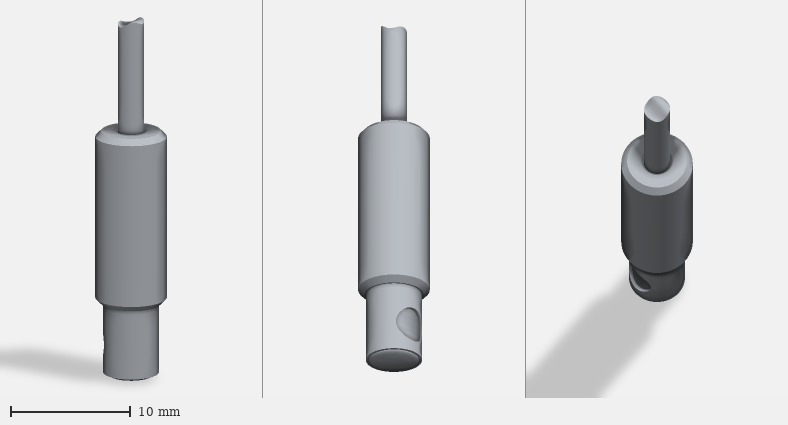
import cadquery as cq
import math

total_height = 31.17
dome_height = 0.5
neck_height = 6.0
body_height = 15.0

body_radius = 6.0 / 2
neck_radius = 4.7 / 2
pin_radius = 2.2 / 2
dome_radius = 4.2 / 2

body_chamfer = 0.5
pin_recess_width = 0.22

wave_height = 0.5
wave_half_length = 1.11

pocket_radius = 3.0 / 2
pocket_center_z = 3.0
pocket_wall_depth = 0.3
pocket_core_overlap = 0.3

neck_bottom = dome_height
body_bottom = neck_bottom + neck_height
body_top = body_bottom + body_height


def make_turned_body():
    """Elliptical domed foot, neck and chamfered body, turned about Z."""
    return (
        cq.Workplane("XZ")
        .moveTo(0, 0)
        .ellipseArc(dome_radius, dome_height, 270, 360)
        .lineTo(neck_radius, neck_bottom)
        .lineTo(neck_radius, body_bottom)
        .lineTo(body_radius - body_chamfer, body_bottom)
        .lineTo(body_radius, body_bottom + body_chamfer)
        .lineTo(body_radius, body_top - body_chamfer)
        .lineTo(body_radius - body_chamfer, body_top)
        .lineTo(0, body_top)
        .close()
        .revolve(360, (0, 0), (0, 1))
    )


def make_pin_recess():
    """Conical countersink in the top of the body, narrowing to the pin."""
    return (
        cq.Workplane("XZ")
        .moveTo(0, body_top - pin_recess_width)
        .lineTo(pin_radius, body_top - pin_recess_width)
        .lineTo(pin_radius + pin_recess_width, body_top)
        .lineTo(0, body_top)
        .close()
        .revolve(360, (0, 0), (0, 1))
    )


def make_pin():
    """Round pin whose tip follows an S-shaped wave across X."""
    pin_bottom = body_top - 2 * pin_recess_width
    wave_middle = total_height - wave_height / 2
    round_pin = (
        cq.Workplane("XY")
        .workplane(offset=pin_bottom)
        .circle(pin_radius)
        .extrude(total_height + wave_height - pin_bottom)
    )
    wave_points = [
        (-wave_half_length / 2, wave_middle - wave_height / 2),
        (0, wave_middle),
        (wave_half_length / 2, wave_middle + wave_height / 2),
        (wave_half_length, wave_middle),
    ]
    level = (1, 0)
    wave_tangents = [None, level, None, level, None]
    wave = (
        cq.Workplane("XZ", origin=(0, wave_half_length, 0))
        .moveTo(-wave_half_length, pin_bottom)
        .lineTo(-wave_half_length, wave_middle)
        .spline(wave_points, tangents=wave_tangents, includeCurrent=True)
        .lineTo(wave_half_length, pin_bottom)
        .close()
        .extrude(2 * wave_half_length)
    )
    return round_pin.intersect(wave)


def make_pocket():
    """Round pocket along X; its saddle floor lies at an even depth below its rim."""
    rim_fall = neck_radius - math.sqrt(neck_radius**2 - pocket_radius**2)
    saddle_radius = pocket_radius**2 / rim_fall
    floor_middle_x = -neck_radius + pocket_wall_depth + rim_fall / 2
    drill = (
        cq.Workplane("YZ")
        .center(0, pocket_center_z)
        .circle(pocket_radius)
        .extrude(-body_radius)
    )
    half_height = pocket_radius + pocket_core_overlap
    end_radius = 2 * saddle_radius - math.sqrt(saddle_radius**2 - half_height**2)
    core = (
        cq.Workplane("XZ")
        .moveTo(0, -half_height)
        .lineTo(-end_radius, -half_height)
        .threePointArc((-saddle_radius, 0), (-end_radius, half_height))
        .lineTo(0, half_height)
        .close()
        .revolve(360, (0, 0), (0, 1))
        .translate((floor_middle_x + saddle_radius, 0, pocket_center_z))
    )
    return drill.cut(core)


result = make_turned_body().cut(make_pin_recess()).union(make_pin()).cut(make_pocket())